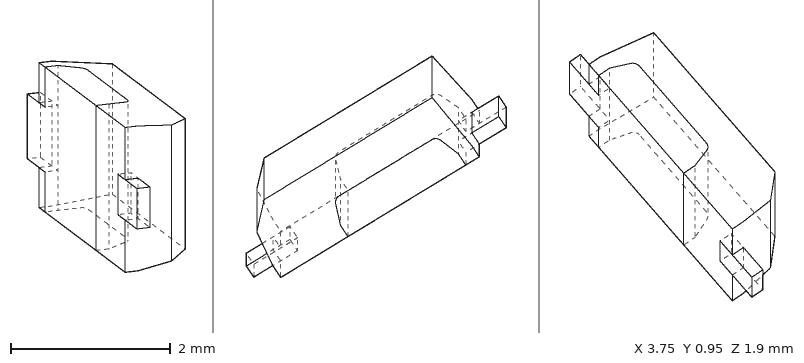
import cadquery as cq
import math

overall_length = 3.75
lead_thickness = 0.175

body_length = 2.95
body_width = 1.9
body_height = 0.95
draft_angle = 7.0
top_flat_end_x = 1.115

pad_start_x = -1.275
pad_length = 1.75
block_top = 0.5
block_slope_angle = 20.0
block_corner_radius = 0.1
wide_tab_width = 0.85

narrow_tab_length = 0.65
narrow_tab_width = 0.53

half_overall = overall_length / 2
half_body = body_length / 2
pad_end_x = pad_start_x + pad_length
draft_slope = math.tan(math.radians(draft_angle))
draft_inset = (body_height - lead_thickness) * draft_slope


def flat_tab(start_x, end_x, width):
    """Flat lead strip lying on the mounting face, centred across the body."""
    return cq.Workplane("XY").box(
        end_x - start_x, lead_thickness, width, centered=(True, False, True)
    ).translate(((start_x + end_x) / 2, 0, 0))


def extrude_across(profile):
    """Extrude an XY profile over the full body width, centred on Z = 0."""
    return profile.extrude(body_width / 2, both=True)


def body_envelope():
    """Outer shape of the body: straight base, drafted sides and a bevelled +X top edge."""
    top_corner_x = half_body - draft_inset
    bevel_height = (top_corner_x - top_flat_end_x) / (1 - draft_slope)
    end_profile = extrude_across(
        cq.Workplane("XY").polyline([
            (-half_body, 0),
            (half_body, 0),
            (half_body, lead_thickness),
            (top_flat_end_x + bevel_height, body_height - bevel_height),
            (top_flat_end_x, body_height),
            (-half_body + draft_inset, body_height),
            (-half_body, lead_thickness),
        ]).close()
    )
    half_width = body_width / 2
    side_profile = (
        cq.Workplane("YZ")
        .polyline([
            (0, -half_width),
            (lead_thickness, -half_width),
            (body_height, -half_width + draft_inset),
            (body_height, half_width - draft_inset),
            (lead_thickness, half_width),
            (0, half_width),
        ])
        .close()
        .extrude(half_body, both=True)
    )
    return end_profile.intersect(side_profile)


def build_wide_lead(envelope):
    """Pad with a sloped, rounded block, flush with the body's long sides, plus its tab."""
    block_inset = (block_top - lead_thickness) * math.tan(math.radians(block_slope_angle))
    block = extrude_across(
        cq.Workplane("XY").polyline([
            (pad_start_x, 0),
            (pad_end_x, 0),
            (pad_end_x, lead_thickness),
            (pad_end_x - block_inset, block_top),
            (pad_start_x + block_inset, block_top),
            (pad_start_x, lead_thickness),
        ]).close()
    )
    block = block.faces(">Y").edges("|Z").fillet(block_corner_radius)
    tab = flat_tab(-half_overall, pad_start_x, wide_tab_width)
    return block.intersect(envelope).union(tab)


envelope = body_envelope()
wide_lead = build_wide_lead(envelope)
narrow_lead = flat_tab(half_overall - narrow_tab_length, half_overall, narrow_tab_width)
body = envelope.cut(wide_lead).cut(narrow_lead)

result = cq.Compound.makeCompound([body.solids().val(), wide_lead.solids().val(), narrow_lead.val()])